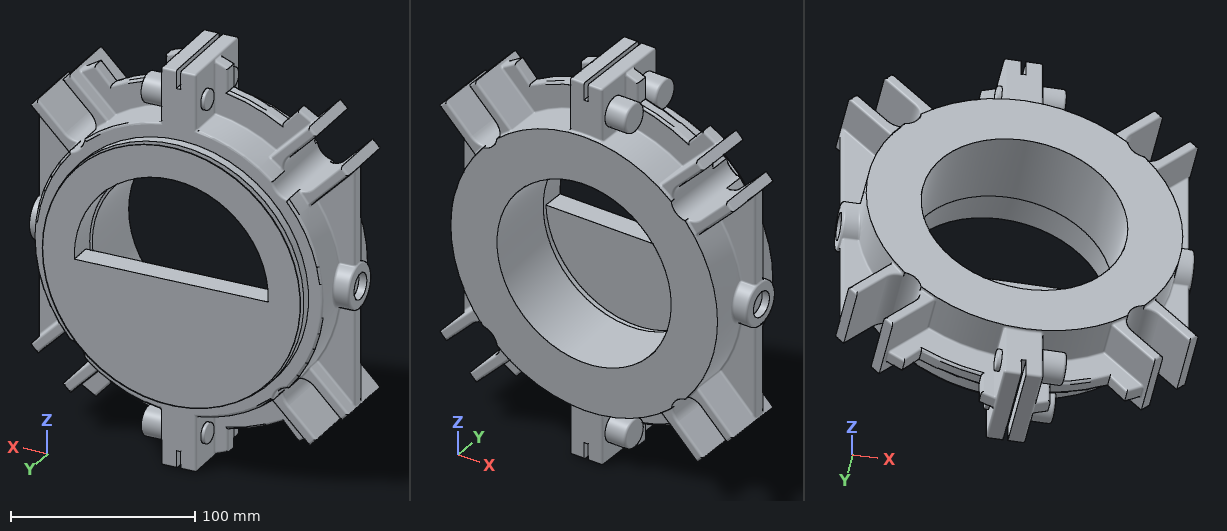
import cadquery as cq
import math

HALF_HEIGHT = 120.6
DEPTH = 63.5
EDGE_ROUND = 1.5
ROOT_ROUND = 1.2

BODY_R = 87.5
BODY_BACK = 54.5
COLLAR_R = 79.0
COLLAR_BACK = 60.3
LIP_R = 78.2
LIP_EDGE = 0.5
GROOVE_R = 76.0
BORE_R = 57.2

SEAT_R = 58.75
SEAT_FRONT = 44.6
BLADE_FRONT = 49.5
BLADE_TOP = -2.5

MID_Y = 28.2
RIB_THICKNESS = 8.2
RIB_R = 104.2
RIB_HALF_WIDTH = 96.0

SLOT_R = 10.5
SLOT_CENTRE_R = 95.8
ARM_OUTER = 17.1
ARM_END = 119.7
FORK_ROOT = 77.2
ARM_FRONT = 2.0
ARM_BACK = 41.3

LUG_HALF_WIDTH = 10.9
LUG_FRONT = 2.0
SLIT_WIDTH = 2.7
SLIT_DEPTH = 10.9
LUG_RIB_HALF_WIDTH = 19.0
LUG_RIB_TOP = 116.3

BOLT_Z = 101.0
BOLT_OFFSET_Y = 15.0
BOLT_TIP_R = 6.0
BOLT_TIP_X = -13.3
BOLT_TIP_ROUND = 0.7
BOLT_HEAD_R = 9.05
BOLT_HEAD_X = 24.4

BOSS_R = 13.8
BOSS_HALF_SPAN = 97.2
BOSS_HOLE_R = 7.7
BOSS_HOLE_DEPTH = 4.8


def prism(outline, y_start, y_end):
    """Extrude an X-Z outline along +Y between two Y positions."""
    return outline(cq.Workplane("XZ", origin=(0, y_start, 0))).extrude(y_start - y_end)


def diagonal(along, across):
    """X-Z point given by its distances along and across the 45 degree diagonal."""
    return ((along + across) / math.sqrt(2), (along - across) / math.sqrt(2))


def turned(profile):
    """Revolve an (R, Y) profile about the Y axis."""
    return cq.Workplane("XY").polyline(profile).close().revolve(360, (0, 0, 0), (0, 1, 0))


def cylinder_y(radius, y_start, y_end):
    return cq.Workplane("XZ", origin=(0, y_start, 0)).circle(radius).extrude(y_start - y_end)


def cylinder_x(radius, y, z, x_start, x_end):
    return cq.Workplane("YZ", origin=(x_start, y, z)).circle(radius).extrude(x_end - x_start)


def mirrored(shape):
    """Join a first-quarter shape with its mirror images in X and Z."""
    half = shape.union(shape.mirror("YZ"))
    return half.union(half.mirror("XY"))


def is_outer_edge(edge):
    """True for edges that stand clear of the round body."""
    middle = edge.positionAt(0.5)
    return math.hypot(middle.x, middle.z) > BODY_R + 2.5


def rib():
    arm_mid = (SLOT_R + ARM_OUTER) / 2
    lug_foot = (LUG_RIB_HALF_WIDTH, math.sqrt(RIB_R**2 - LUG_RIB_HALF_WIDTH**2))
    web_foot_angle = math.radians(60)
    web_foot = (RIB_R * math.cos(web_foot_angle), RIB_R * math.sin(web_foot_angle))
    arc_angle = (math.atan2(lug_foot[1], lug_foot[0]) + web_foot_angle) / 2
    arc_mid = (RIB_R * math.cos(arc_angle), RIB_R * math.sin(arc_angle))
    web_tip = (61.5, 100.5)

    def outline(plane):
        return (
            plane.moveTo(0, 0)
            .lineTo(0, LUG_RIB_TOP)
            .lineTo(LUG_HALF_WIDTH - 2.5, HALF_HEIGHT - 0.2)
            .lineTo(LUG_RIB_HALF_WIDTH, LUG_RIB_TOP)
            .lineTo(*lug_foot)
            .threePointArc(arc_mid, web_foot)
            .lineTo(*web_tip)
            .lineTo(*diagonal(ARM_END - 1.7, -arm_mid))
            .lineTo(*diagonal(FORK_ROOT, -arm_mid))
            .lineTo(*diagonal(FORK_ROOT, arm_mid))
            .lineTo(*diagonal(ARM_END - 1.7, arm_mid))
            .lineTo(RIB_HALF_WIDTH, RIB_HALF_WIDTH - 23.2)
            .lineTo(RIB_HALF_WIDTH, 0)
            .close()
        )

    web = mirrored(prism(outline, MID_Y - RIB_THICKNESS / 2, MID_Y + RIB_THICKNESS / 2))
    outer = web.faces("<Y or >Y").edges().filter(is_outer_edge)
    return outer.fillet(EDGE_ROUND)


def slot(y_start, y_end):
    """Round-bottomed slot that opens outward along the diagonal."""
    def outline(plane):
        return (
            plane.moveTo(*diagonal(ARM_END + 2.5, SLOT_R))
            .lineTo(*diagonal(SLOT_CENTRE_R, SLOT_R))
            .threePointArc(diagonal(SLOT_CENTRE_R - SLOT_R, 0), diagonal(SLOT_CENTRE_R, -SLOT_R))
            .lineTo(*diagonal(ARM_END + 2.5, -SLOT_R))
            .close()
        )

    return prism(outline, y_start, y_end)


def fork():
    def outline(plane):
        return plane.polyline(
            [
                diagonal(FORK_ROOT, ARM_OUTER),
                diagonal(ARM_END, ARM_OUTER),
                diagonal(ARM_END, -ARM_OUTER),
                diagonal(FORK_ROOT, -ARM_OUTER),
            ]
        ).close()

    block = prism(outline, ARM_FRONT, ARM_BACK).cut(slot(ARM_FRONT, ARM_BACK))
    return block.faces("<Y or >Y").edges().filter(is_outer_edge).fillet(EDGE_ROUND)


def lugs():
    bar = cq.Workplane("XY").box(2 * LUG_HALF_WIDTH, BODY_BACK - LUG_FRONT, 2 * HALF_HEIGHT)
    bar = bar.translate((0, (BODY_BACK + LUG_FRONT) / 2, 0))
    return bar.edges().fillet(EDGE_ROUND)


def bosses():
    span = cylinder_x(BOSS_R, MID_Y, 0, -BOSS_HALF_SPAN, BOSS_HALF_SPAN)
    return span.edges("%CIRCLE").fillet(EDGE_ROUND)


def body():
    drum = cylinder_y(BODY_R, 0, BODY_BACK).cut(mirrored(slot(0, BODY_BACK)))
    return drum.faces(">Y").edges().fillet(EDGE_ROUND)


def is_root_edge(edge):
    """True for inside corners along the rib, the body, the arms, the lug and the boss."""
    def close(a, b):
        return abs(a - b) < 0.05

    if edge.Length() < 6.0:
        return False
    mid = edge.positionAt(0.5)
    from_axis = math.hypot(mid.x, mid.z)
    across = abs(abs(mid.x) - abs(mid.z)) / math.sqrt(2)
    on_rib = close(abs(mid.y - MID_Y), RIB_THICKNESS / 2)
    on_body = close(from_axis, BODY_R)
    on_arm = close(across, ARM_OUTER)
    on_lug = close(abs(mid.x), LUG_HALF_WIDTH)
    on_boss = close(math.hypot(mid.y - MID_Y, mid.z), BOSS_R) and abs(mid.x) < BOSS_HALF_SPAN - 2 * EDGE_ROUND
    return [on_rib, on_body, on_arm, on_lug, on_boss].count(True) == 2


def casting():
    """Solid casting with its inside corners rounded, before it is bored."""
    shape = body().union(rib()).union(mirrored(fork())).union(lugs()).union(bosses())
    return shape.edges().filter(is_root_edge).fillet(ROOT_ROUND)


def back_collar():
    return turned(
        [
            (0, BODY_BACK),
            (COLLAR_R, BODY_BACK),
            (COLLAR_R, COLLAR_BACK),
            (GROOVE_R, COLLAR_BACK),
            (LIP_R, DEPTH - LIP_EDGE),
            (LIP_R, DEPTH),
            (0, DEPTH),
        ]
    )


def blade():
    """Half disc that closes the bore below its straight top edge."""
    disc = cylinder_y(SEAT_R, BLADE_FRONT, DEPTH)
    keep = cq.Workplane("XY").box(2 * BORE_R + 12, 3 * DEPTH, HALF_HEIGHT).translate(
        (0, 0, BLADE_TOP - HALF_HEIGHT / 2)
    )
    return disc.intersect(keep)


def bolt(y, z):
    head = cylinder_x(BOLT_HEAD_R, y, z, 2.5, BOLT_HEAD_X).faces(">X").edges().fillet(EDGE_ROUND)
    tip = cylinder_x(BOLT_TIP_R, y, z, BOLT_TIP_X, -2.5).faces("<X").edges().fillet(BOLT_TIP_ROUND)
    return head.union(tip)


result = casting().union(back_collar())

result = result.cut(cylinder_y(BORE_R, 0, DEPTH))
result = result.cut(cylinder_y(SEAT_R, SEAT_FRONT, DEPTH))
result = result.union(blade())

for end in (1, -1):
    slit = cq.Workplane("XY").box(SLIT_WIDTH, 3 * DEPTH, 2 * SLIT_DEPTH)
    result = result.cut(slit.translate((0, 0, end * HALF_HEIGHT)))
    for offset in (BOLT_OFFSET_Y, -BOLT_OFFSET_Y):
        result = result.union(bolt(MID_Y + offset, end * BOLT_Z))

for side in (1, -1):
    hole_floor = side * (BOSS_HALF_SPAN - BOSS_HOLE_DEPTH)
    result = result.cut(cylinder_x(BOSS_HOLE_R, MID_Y, 0, hole_floor, side * BOSS_HALF_SPAN))